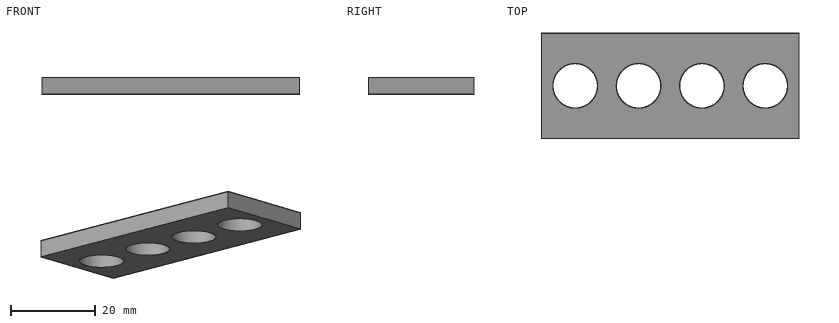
import cadquery as cq

length = 61.0
width = 25.0
thickness = 4.0

hole_diameter = 10.5
hole_count = 4
hole_pitch = 15.0

plate = cq.Workplane("XY").box(length, width, thickness)

result = (
    plate.faces(">Z")
    .workplane()
    .rarray(hole_pitch, width, hole_count, 1)
    .hole(hole_diameter)
)